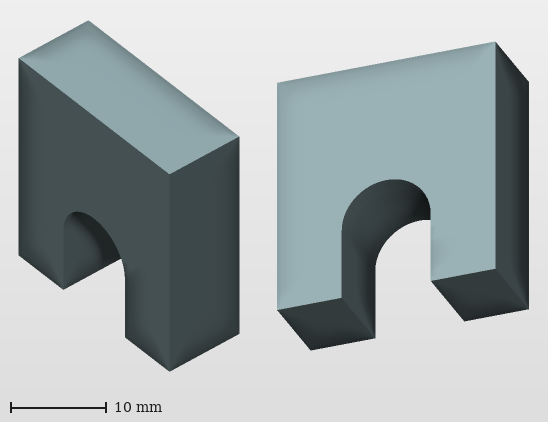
import cadquery as cq

width = 24.5
depth = 9.5
height = 27.0

slot_width = 10.0
slot_height = 13.0
slot_radius = slot_width / 2
straight_height = slot_height - slot_radius

block = cq.Workplane("XY").box(width, depth, height, centered=(True, True, False))

slot = (
    cq.Workplane("XZ")
    .moveTo(-slot_radius, 0)
    .lineTo(-slot_radius, straight_height)
    .threePointArc((0, slot_height), (slot_radius, straight_height))
    .lineTo(slot_radius, 0)
    .close()
    .extrude(depth / 2, both=True)
)

result = block.cut(slot)